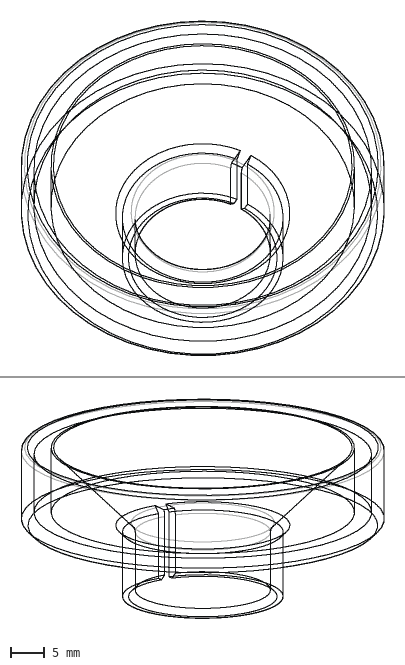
import cadquery as cq

total_height = 23.0
body_radius = 54.0 / 2
body_underside = 11.0
body_bottom_chamfer = 1.0
body_top_fillet = 0.5

hub_radius = 23.9 / 2
hub_root_chamfer = 1.0
bore_radius = 20.1 / 2
bore_bottom_chamfer = 1.0

groove_outer_radius = 50.2 / 2
groove_inner_radius = 45.1 / 2
groove_floor = 13.0
groove_mouth_chamfer = 1.0

funnel_rim_radius = 22.2
funnel_depth = funnel_rim_radius - bore_radius
throat_height = total_height - funnel_depth
throat_fillet = 2.0

slot_width = 1.8
slot_height = body_underside

edge_margin = 0.1


def revolved_body():
    """Half section in the XZ plane, revolved about Z."""
    section = (
        cq.Workplane("XZ")
        .moveTo(bore_radius, bore_bottom_chamfer)
        .lineTo(bore_radius + bore_bottom_chamfer, 0)
        .lineTo(hub_radius, 0)
        .lineTo(hub_radius, body_underside - hub_root_chamfer)
        .lineTo(hub_radius + hub_root_chamfer, body_underside)
        .lineTo(body_radius - body_bottom_chamfer, body_underside)
        .lineTo(body_radius, body_underside + body_bottom_chamfer)
        .lineTo(body_radius, total_height)
        .lineTo(groove_outer_radius + groove_mouth_chamfer, total_height)
        .lineTo(groove_outer_radius, total_height - groove_mouth_chamfer)
        .lineTo(groove_outer_radius, groove_floor)
        .lineTo(groove_inner_radius, groove_floor)
        .lineTo(groove_inner_radius, total_height)
        .lineTo(funnel_rim_radius, total_height)
        .lineTo(bore_radius, throat_height)
        .close()
    )
    return section.revolve(360, (0, 0, 0), (0, 1, 0))


def round_throat(body):
    """Blend the funnel into the bore along their shared circular edge."""
    reach = bore_radius + edge_margin
    throat_edge = cq.selectors.BoxSelector(
        (-reach, -reach, throat_height - edge_margin),
        (reach, reach, throat_height + edge_margin),
        boundingbox=True,
    )
    return body.edges(throat_edge).fillet(throat_fillet)


def round_top_rim(body):
    """Round the outermost circular edge of the top face."""
    outer_edge = cq.selectors.RadiusNthSelector(-1)
    return body.faces(">Z").edges(outer_edge).fillet(body_top_fillet)


def hub_slot():
    """Radial slot cutter reaching from the bore axis out past the hub root."""
    slot_length = hub_radius + hub_root_chamfer
    return cq.Workplane("XY").box(slot_width, slot_length, slot_height, centered=(True, False, False))


body = revolved_body()
body = round_throat(body)
body = round_top_rim(body)
result = body.cut(hub_slot())